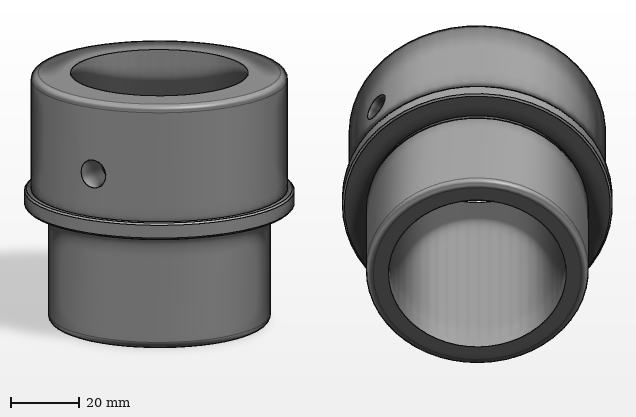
import cadquery as cq

total_height = 75.0
bore_diameter = 52.0

spigot_diameter = 65.0
flange_diameter = 79.0
head_diameter = 75.0

flange_bottom = 35.0
flange_thickness = 5.0
flange_chamfer = 0.55
end_round = 2.05

relief_radius = 1.5
relief_depth = 0.59
relief_below_flange = 0.6

side_hole_diameter = 8.4
side_hole_below_top = 22.0


def make_spigot():
    radius = spigot_diameter / 2
    body = cq.Workplane("XY").circle(radius).extrude(flange_bottom)
    body = body.faces("<Z").edges().fillet(end_round)
    ring_radius = radius - relief_depth + relief_radius
    relief = cq.Workplane("XZ").center(ring_radius, flange_bottom - relief_below_flange)
    relief = relief.circle(relief_radius).revolve(360, (-ring_radius, 0), (-ring_radius, 1))
    return body.cut(relief)


def make_flange():
    flange = cq.Workplane("XY").workplane(offset=flange_bottom)
    flange = flange.circle(flange_diameter / 2).extrude(flange_thickness)
    return flange.edges().chamfer(flange_chamfer)


def make_head():
    head_bottom = flange_bottom + flange_thickness
    head = cq.Workplane("XY").workplane(offset=head_bottom)
    head = head.circle(head_diameter / 2).extrude(total_height - head_bottom)
    return head.faces(">Z").edges().fillet(end_round)


def make_bore():
    return cq.Workplane("XY").circle(bore_diameter / 2).extrude(total_height)


def make_side_hole():
    hole = cq.Workplane("XZ").center(0, total_height - side_hole_below_top)
    return hole.circle(side_hole_diameter / 2).extrude(head_diameter)


outer_body = make_spigot().union(make_flange()).union(make_head())
result = outer_body.cut(make_bore()).cut(make_side_hole())